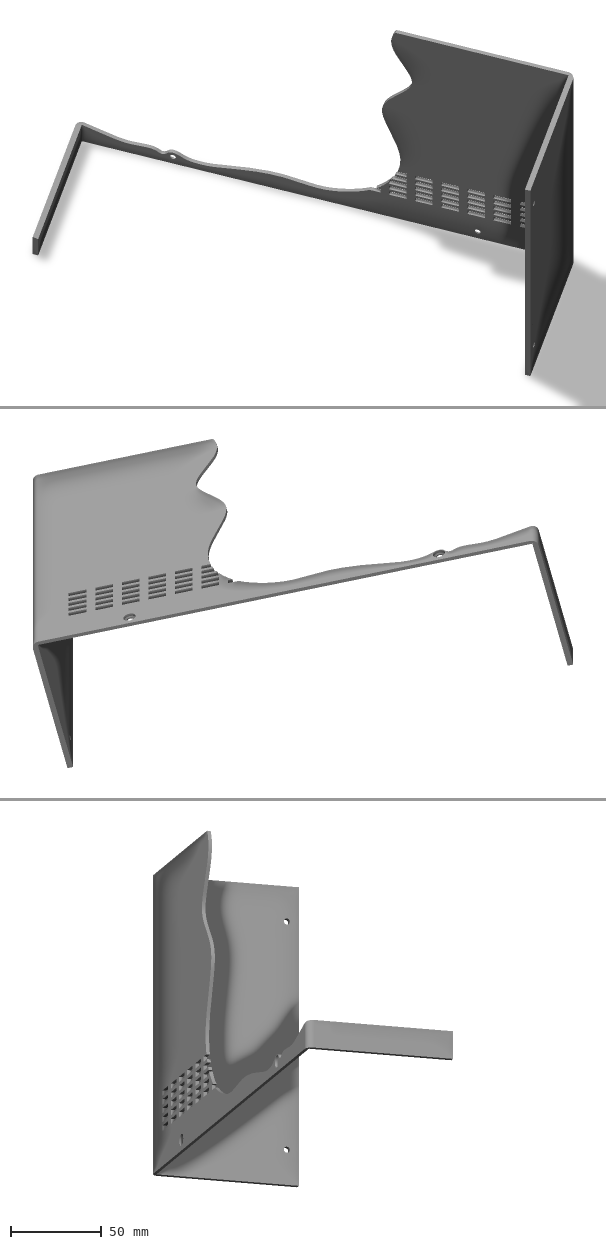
import cadquery as cq

WIDTH = 286.0
DEPTH = 84.0
HEIGHT = 170.0
FLANGE_SHEET = 3.1
BACK_SHEET = 2.05
BEND_RADIUS = 4.0

HOLE_DIAMETER = 3.5
BACK_HOLE_SPACING = 175.0
BACK_HOLE_HEIGHT = 6.0
COUNTERBORE_DIAMETER = 2 * HOLE_DIAMETER
COUNTERBORE_DEPTH = 1.5
SIDE_HOLE_SETBACK = 7.0
SIDE_HOLE_MARGIN = 20.0

SLOT_LENGTH = 10.0
SLOT_HEIGHT = 0.3 * SLOT_LENGTH
SLOT_COLUMNS = 7
SLOT_ROWS = 5
SLOT_COLUMN_PITCH = 1.5 * SLOT_LENGTH
SLOT_ROW_PITCH = 0.5 * SLOT_LENGTH
SLOT_RIGHT_MARGIN = 21.2
SLOT_BOTTOM_MARGIN = 20.0

BREAK_START = (0.0, 15.7)
BREAK_END = (183.3, HEIGHT)
BREAK_LINE = [
    BREAK_START,
    (17.0, 11.0),
    (30.3, 8.3),
    (38.5, 9.0),
    (46.3, 7.7),
    (49.2, 6.3),
    (51.2, 7.2),
    (53.5, 9.5),
    (56.3, 9.7),
    (61.8, 7.2),
    (68.5, 5.5),
    (91.5, 9.0),
    (120.0, 12.0),
    (140.0, 10.0),
    (156.2, 13.5),
    (172.5, 23.2),
    (182.5, 37.2),
    (186.2, 54.3),
    (178.5, 83.0),
    (176.0, 98.7),
    (183.0, 111.5),
    (192.8, 127.3),
    (188.0, 141.5),
    (181.0, 158.7),
    BREAK_END,
]


def folded_sheet():
    """U-shaped sheet: back panel at +Y, side flanges reaching to Y = 0."""
    outer = cq.Workplane("XY").box(WIDTH, DEPTH, HEIGHT, centered=False)
    outer = outer.edges("|Z and >Y").fillet(BEND_RADIUS)
    inner = (
        cq.Workplane("XY")
        .box(WIDTH - 2 * FLANGE_SHEET, DEPTH - BACK_SHEET, HEIGHT, centered=False)
        .translate((FLANGE_SHEET, 0, 0))
    )
    return outer.cut(inner)


def broken_away_corner():
    """Everything above and to the left of the break line."""
    return (
        cq.Workplane("XZ")
        .moveTo(*BREAK_START)
        .spline(BREAK_LINE[1:], includeCurrent=True)
        .lineTo(0, HEIGHT)
        .close()
        .extrude(-DEPTH)
    )


def vent_slots():
    """Grid of slots through the back panel; the break line cuts off its left end."""
    right_center = WIDTH - SLOT_RIGHT_MARGIN - SLOT_LENGTH / 2
    bottom_center = SLOT_BOTTOM_MARGIN + SLOT_HEIGHT / 2
    centers = [
        (right_center - column * SLOT_COLUMN_PITCH, bottom_center + row * SLOT_ROW_PITCH)
        for column in range(SLOT_COLUMNS)
        for row in range(SLOT_ROWS)
    ]
    return cq.Workplane("XZ").pushPoints(centers).rect(SLOT_LENGTH, SLOT_HEIGHT).extrude(-DEPTH)


def back_holes():
    """Screw holes through the back panel, counterbored from its outer face."""
    centers = [
        (WIDTH / 2 + side * BACK_HOLE_SPACING / 2, BACK_HOLE_HEIGHT)
        for side in (-1, 1)
    ]
    holes = cq.Workplane("XZ").pushPoints(centers).circle(HOLE_DIAMETER / 2).extrude(-DEPTH)
    counterbores = (
        cq.Workplane("XZ", origin=(0, DEPTH, 0))
        .pushPoints(centers)
        .circle(COUNTERBORE_DIAMETER / 2)
        .extrude(COUNTERBORE_DEPTH)
    )
    return holes.union(counterbores)


def side_holes():
    """Screw holes near the free edge of the right flange, the only full-height one."""
    centers = [
        (SIDE_HOLE_SETBACK, height)
        for height in (SIDE_HOLE_MARGIN, HEIGHT - SIDE_HOLE_MARGIN)
    ]
    return cq.Workplane("YZ").pushPoints(centers).circle(HOLE_DIAMETER / 2).extrude(WIDTH)


result = (
    folded_sheet()
    .cut(broken_away_corner())
    .cut(vent_slots())
    .cut(back_holes())
    .cut(side_holes())
)